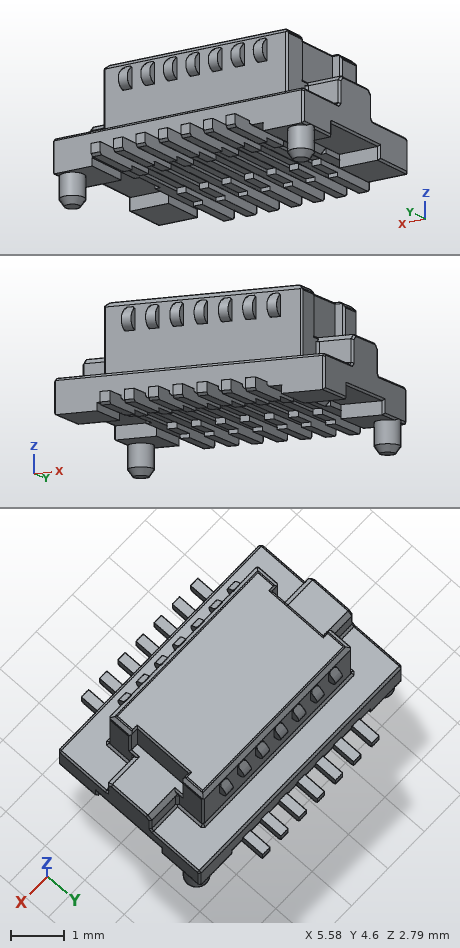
import cadquery as cq
import math

body_half_x = 2.79
body_half_y = 1.8
flange_top = 0.7
edge_chamfer = 0.05
face_chamfer = 0.04

wing_half_y = 0.55
wing_top = 1.3
wing_chamfer = 0.1

tower_half_x = 2.05
tower_half_y = 1.2
tower_top = 2.195
tower_chamfer = 0.1
slope_bevel = 0.018

recess_depth = 0.2
recess_half_y = 0.65

notch_half_y = 0.81
notch_height = 0.27
channel_half_x = 1.9
channel_height = 0.16
ramp_half_y = 0.35

contact_count = 7
contact_pitch = 0.5
contact_width = 0.2
lead_reach = 2.3
lead_height = 0.25
lead_step_y = 1.2
tail_inner_y = 0.64
tail_bottom = 0.08
lead_slot_top = 0.2
lead_slot_half_width = 0.14
bump_radius = 0.2
bump_center_y = 1.17
bump_center_z = 1.8
bump_tip_chamfer = 0.04

peg_diameter = 0.5
peg_length = 0.595
peg_x = body_half_x - peg_diameter / 2
peg_y = 1.49
peg_tip_length = 0.14
peg_tip_radius = 0.15

contact_positions = [
    (i - (contact_count - 1) / 2) * contact_pitch for i in range(contact_count)
]


def box(x_min, x_max, y_min, y_max, z_min, z_max):
    """Axis-aligned block between the given limits."""
    size = (x_max - x_min, y_max - y_min, z_max - z_min)
    return cq.Workplane("XY").box(*size, centered=False).translate((x_min, y_min, z_min))


def both_ends(shape):
    """The shape together with its mirror image at the other X end."""
    return shape.union(shape.mirror("YZ"))


def both_sides(shape):
    """The shape together with its mirror image at the other Y side."""
    return shape.union(shape.mirror("XZ"))


def symmetric_prism(plane, half_profile, half_length):
    """Prism whose section is the given right half and its mirror image."""
    mirrored = [(-u, z) for u, z in reversed(half_profile)]
    section = cq.Workplane(plane).polyline(half_profile + mirrored).close()
    return section.extrude(half_length, both=True)


def base():
    """Flange and wings as one end-to-end profile, with bevelled end faces."""
    half_profile = [
        (notch_half_y, notch_height),
        (notch_half_y, 0),
        (body_half_y, 0),
        (body_half_y, flange_top - edge_chamfer),
        (body_half_y - edge_chamfer, flange_top),
        (wing_half_y + edge_chamfer, flange_top),
        (wing_half_y, flange_top + edge_chamfer),
        (wing_half_y, wing_top - wing_chamfer),
        (wing_half_y - wing_chamfer, wing_top),
    ]
    prism = symmetric_prism("YZ", half_profile, body_half_x)
    return prism.faces("<X or >X").chamfer(face_chamfer)


def underside_floor():
    """Floor between the end notches; the middle of each end slopes inward."""
    floor = box(-channel_half_x, channel_half_x, -notch_half_y, notch_half_y,
                channel_height, notch_height)
    ramp_run = notch_height - channel_height
    ramp = (
        cq.Workplane("XZ")
        .moveTo(channel_half_x, notch_height)
        .lineTo(channel_half_x, channel_height)
        .lineTo(channel_half_x - ramp_run, channel_height)
        .close()
        .extrude(ramp_half_y, both=True)
    )
    return floor.cut(both_ends(ramp))


def underside_channel():
    """Channel across the full width that clears the leads."""
    return box(-channel_half_x, channel_half_x, -body_half_y, body_half_y, 0, channel_height)


def tower_block():
    """Tower without recesses: the top face and the end faces have bevelled outlines."""
    upright = box(-tower_half_x, tower_half_x, -tower_half_y, tower_half_y,
                  notch_height, tower_top)
    upright = upright.edges("|Z").chamfer(face_chamfer)

    slope_base = tower_top - tower_chamfer
    along_slope = slope_bevel * math.sqrt(0.5)
    top_inset = tower_chamfer + slope_bevel
    side_profile = [
        (tower_half_y, notch_height),
        (tower_half_y, slope_base),
        (tower_half_y - tower_chamfer + along_slope, tower_top - along_slope),
        (tower_half_y - top_inset, tower_top),
    ]
    end_profile = [
        (tower_half_x, notch_height),
        (tower_half_x, slope_base - slope_bevel),
        (tower_half_x - along_slope, slope_base + along_slope),
        (tower_half_x - tower_chamfer + along_slope, tower_top - along_slope),
        (tower_half_x - top_inset, tower_top),
    ]
    across = symmetric_prism("YZ", side_profile, tower_half_x)
    along = symmetric_prism("XZ", end_profile, tower_half_y)
    return upright.intersect(across).intersect(along)


def tower():
    """Tower with a recess, bevelled at its mouth and rim, in each end wall."""
    recess_wall = tower_half_x - recess_depth
    recess = box(recess_wall, tower_half_x, -recess_half_y, recess_half_y, wing_top, tower_top)

    mouth_half_y = recess_half_y + face_chamfer
    mouth_height = tower_top - wing_top + 2 * face_chamfer
    mouth = (
        cq.Workplane("YZ", origin=(tower_half_x, 0, (wing_top + tower_top) / 2))
        .rect(2 * mouth_half_y, mouth_height)
        .extrude(-face_chamfer, taper=45)
    )
    rim_length = recess_depth + 2 * face_chamfer
    rim = (
        cq.Workplane("XY", origin=(tower_half_x - recess_depth / 2, 0, tower_top))
        .rect(rim_length, 2 * mouth_half_y)
        .extrude(-face_chamfer, taper=45)
    )
    return tower_block().cut(both_ends(recess.union(mouth).union(rim)))


def tower_foot():
    """Sloped skirt where the tower meets the flange."""
    half_x = tower_half_x + edge_chamfer
    half_y = tower_half_y + edge_chamfer
    outline = [
        (half_x, half_y - edge_chamfer),
        (half_x - edge_chamfer, half_y),
        (edge_chamfer - half_x, half_y),
        (-half_x, half_y - edge_chamfer),
        (-half_x, edge_chamfer - half_y),
        (edge_chamfer - half_x, -half_y),
        (half_x - edge_chamfer, -half_y),
        (half_x, edge_chamfer - half_y),
    ]
    skirt = cq.Workplane("XY", origin=(0, 0, flange_top)).polyline(outline).close()
    return skirt.extrude(edge_chamfer, taper=45)


def wing_gussets():
    """Sloped fill in the four upright corners between wings and tower."""
    gusset = (
        cq.Workplane("XY", origin=(0, 0, flange_top))
        .moveTo(tower_half_x, wing_half_y)
        .lineTo(tower_half_x + edge_chamfer, wing_half_y)
        .lineTo(tower_half_x, wing_half_y + edge_chamfer)
        .close()
        .extrude(wing_top - wing_chamfer - flange_top)
    )
    return both_ends(both_sides(gusset))


def lead(x):
    """Solder lead: flat foot outside, raised tail under the body."""
    outline = [
        (tail_inner_y, tail_bottom),
        (lead_step_y, tail_bottom),
        (lead_step_y, 0),
        (lead_reach - edge_chamfer, 0),
        (lead_reach, edge_chamfer),
        (lead_reach, lead_height),
        (tail_inner_y, lead_height),
    ]
    profile = cq.Workplane("YZ", origin=(x, 0, 0)).polyline(outline).close()
    return both_sides(profile.extrude(contact_width / 2, both=True))


def lead_slot(x):
    """Bevelled relief in the flange underside around a lead."""
    half_contact = contact_width / 2
    outline = [
        (x - lead_slot_half_width, channel_height),
        (x + lead_slot_half_width, channel_height),
        (x + half_contact, lead_slot_top),
        (x - half_contact, lead_slot_top),
    ]
    return cq.Workplane("XZ").polyline(outline).close().extrude(body_half_y, both=True)


def bump(x):
    """Rounded contact on the tower wall, its top running flat into the wall at 45 degrees."""
    tangent = bump_radius * math.sqrt(0.5)
    tip_y = tower_half_y
    tip_z = bump_center_z + 2 * tangent - (tip_y - bump_center_y)
    root_y = tower_half_y - tower_chamfer
    bottom_z = bump_center_z - math.sqrt(bump_radius**2 - (tip_y - bump_center_y) ** 2)
    rounded = (
        cq.Workplane("YZ", origin=(x, 0, 0))
        .moveTo(root_y, bottom_z)
        .lineTo(tip_y, bottom_z)
        .threePointArc((bump_center_y + bump_radius, bump_center_z),
                       (bump_center_y + tangent, bump_center_z + tangent))
        .lineTo(tip_y, tip_z)
        .lineTo(root_y, tip_z)
        .close()
        .extrude(contact_width / 2, both=True)
    )
    rounded = rounded.faces(">Z").edges("|Y").chamfer(bump_tip_chamfer)
    return both_sides(rounded)


def peg():
    """Locating peg with a conical tip, sunk into the flange."""
    radius = peg_diameter / 2
    profile = [
        (0, edge_chamfer),
        (radius, edge_chamfer),
        (radius, peg_tip_length - peg_length),
        (peg_tip_radius, -peg_length),
        (0, -peg_length),
    ]
    turned = cq.Workplane("XZ").polyline(profile).close().revolve(360, (0, 0, 0), (0, 1, 0))
    return turned.translate((peg_x, peg_y, 0))


result = base().union(underside_floor()).cut(underside_channel())
result = result.union(tower())
result = result.union(tower_foot()).union(wing_gussets())
for contact_x in contact_positions:
    result = result.cut(lead_slot(contact_x))
for contact_x in contact_positions:
    result = result.union(lead(contact_x)).union(bump(contact_x))
result = result.union(both_ends(peg()))